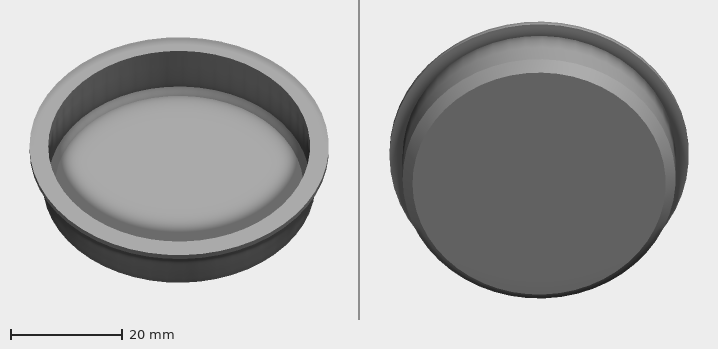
import cadquery as cq
import math

flange_diameter = 53.7
body_diameter = 49.0
cavity_diameter = 47.0
total_height = 11.5
flange_thickness = 1.0
outer_chamfer = 1.75

wall = (body_diameter - cavity_diameter) / 2
inner_chamfer = outer_chamfer - wall * (2 - math.sqrt(2))


def chamfered_cylinder(diameter, bottom, top, chamfer):
    """Vertical cylinder with a 45 degree chamfer around its bottom edge."""
    return (
        cq.Workplane("XY")
        .workplane(offset=bottom)
        .circle(diameter / 2)
        .extrude(top - bottom)
        .faces("<Z")
        .edges()
        .chamfer(chamfer)
    )


body = chamfered_cylinder(body_diameter, 0, total_height, outer_chamfer)

flange = (
    cq.Workplane("XY")
    .workplane(offset=total_height - flange_thickness)
    .circle(flange_diameter / 2)
    .extrude(flange_thickness)
)

cavity = chamfered_cylinder(cavity_diameter, wall, total_height, inner_chamfer)

result = body.union(flange).cut(cavity)